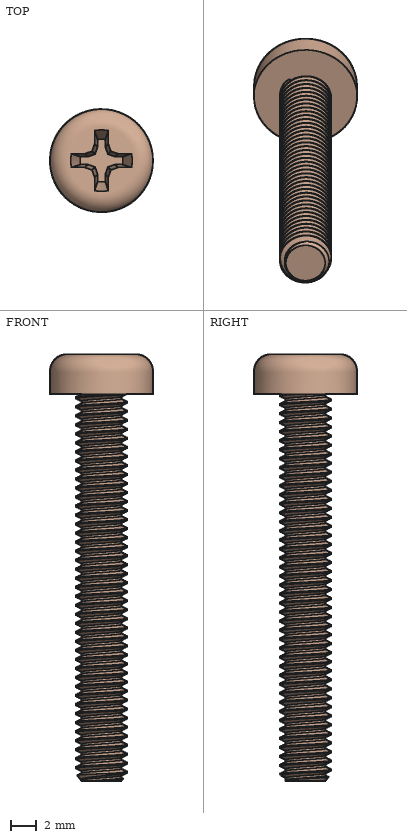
import cadquery as cq
import math

total_length = 33.1
head_diameter = 8.0
head_height = 3.1
head_edge_radius = 1.35
shank_length = total_length - head_height

thread_diameter = 4.0
root_diameter = 3.1
turns_in_shank = 42.9
pitch = shank_length / turns_in_shank
crest_width = pitch / 8
root_gap = pitch / 4
overrun_turns = 2
crest_depth_below_head = 0.63
tip_chamfer_height = 0.6
tip_diameter = 3.05

recess_depth = 2.32
recess_reach = 2.38
arm_width = 1.05
recess_flare_start = 1.3
recess_corner = 0.73
recess_end_inset = 0.73
recess_side_inset = 0.23


def make_head():
    """Pan head: a disc with a rounded top edge."""
    head = cq.Workplane("XY").workplane(offset=shank_length)
    head = head.circle(head_diameter / 2).extrude(head_height)
    return head.faces(">Z").edges().fillet(head_edge_radius)


def helix_turn(radius, start_z):
    """One right-hand turn that starts and ends on the +X side."""
    return cq.Wire.makeHelix(pitch, pitch, radius, cq.Vector(0, 0, start_z)).Edges()[0]


def thread_end(profile, turn_z, root_helix):
    """Radial step and helicoid floor that close the thread at one end."""
    axis_low = cq.Vector(0, 0, turn_z + profile[0][1])
    axis_high = axis_low + cq.Vector(0, 0, pitch)
    rim = [cq.Vector(radius, 0, turn_z + rise) for radius, rise in profile]
    step = cq.Wire.makePolygon([axis_low, *rim, axis_high], close=True)
    floor = cq.Face.makeRuledSurface(cq.Edge.makeLine(axis_low, axis_high), root_helix)
    return [cq.Face.makeFromWires(step), floor]


def make_threaded_rod():
    """Rod skinned turn by turn; it overruns the shank at both ends."""
    root_radius = root_diameter / 2
    crest_radius = thread_diameter / 2
    half_base = (pitch - root_gap) / 2
    half_crest = crest_width / 2
    profile = [
        (root_radius, -half_base),
        (crest_radius, -half_crest),
        (crest_radius, half_crest),
        (root_radius, half_base),
        (root_radius, pitch - half_base),
    ]
    turns = math.ceil(turns_in_shank) + overrun_turns
    first_z = shank_length - crest_depth_below_head - (turns - 1) * pitch
    lower_helix = helix_turn(root_radius, first_z - half_base)
    faces = thread_end(profile, first_z, lower_helix)
    for turn in range(turns):
        turn_z = first_z + turn * pitch
        for radius, rise in profile[1:]:
            upper_helix = helix_turn(radius, turn_z + rise)
            faces.append(cq.Face.makeRuledSurface(lower_helix, upper_helix))
            lower_helix = upper_helix
    faces += thread_end(profile, first_z + turns * pitch, lower_helix)
    return cq.Workplane(cq.Solid.makeSolid(cq.Shell.makeShell(faces)))


def tip_trim():
    """Waste below the flat tip and outside its chamfer."""
    tip_radius = tip_diameter / 2
    waste_radius = head_diameter / 2
    chamfer_slope = tip_chamfer_height / (thread_diameter / 2 - tip_radius)
    waste_top = chamfer_slope * (waste_radius - tip_radius)
    waste_bottom = -(overrun_turns + 1) * pitch
    profile = [
        (0, waste_bottom),
        (waste_radius, waste_bottom),
        (waste_radius, waste_top),
        (tip_radius, 0),
        (0, 0),
    ]
    return cq.Workplane("XZ").polyline(profile).close().revolve(360, (0, 0), (0, 1))


def turned(point, quarter):
    """Point turned about the origin by a number of quarter turns."""
    x, y = point
    for _ in range(quarter):
        x, y = -y, x
    return x, y


def cross_outline(plane, inset, reach):
    """Four-armed outline with round arm ends and a two-facet flare in each inner corner."""
    half_width = arm_width / 2 - inset
    flare_start = recess_flare_start - inset
    corner = recess_corner - inset
    end_x = math.sqrt(reach**2 - half_width**2)
    outline = plane.moveTo(end_x, -half_width)
    for quarter in range(4):
        outline = outline.threePointArc(turned((reach, 0), quarter), turned((end_x, half_width), quarter))
        outline = outline.lineTo(*turned((flare_start, half_width), quarter))
        outline = outline.lineTo(*turned((corner, corner), quarter))
        outline = outline.lineTo(*turned((half_width, flare_start), quarter))
        if quarter < 3:
            outline = outline.lineTo(*turned((half_width, end_x), quarter))
    return outline.close()


def make_recess():
    """Tapered cross between the smaller floor outline and the rim outline."""
    floor = cq.Workplane("XY").workplane(offset=total_length - recess_depth)
    floor_outline = cross_outline(floor, recess_side_inset, recess_reach - recess_end_inset)
    rim = floor_outline.workplane(offset=recess_depth)
    return cross_outline(rim, 0, recess_reach).loft(ruled=True)


rod = make_threaded_rod().cut(tip_trim())
result = rod.union(make_head()).cut(make_recess())